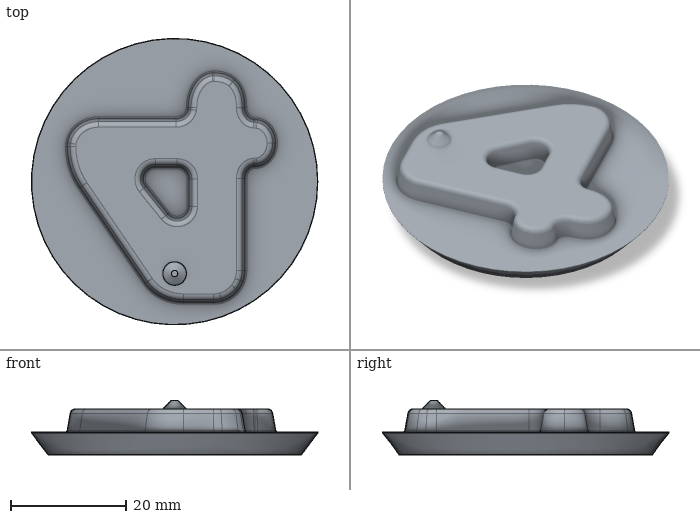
import cadquery as cq
import math

disc_radius = 24.85
disc_bottom_radius = 21.95
disc_height = 4.0
rim_height = 0.15

figure_height = 4.05
draft_angle = 10.0
top_fillet = 1.0
foot_fillet = 0.3

left_x = -18.7
right_x = 12.3
bottom_y = -21.0
bar_top_y = 11.0
diagonal_angle = math.radians(55.7)
diagonal_start = (-16.5, -1.05)
diagonal_end_x = -5.15
left_tangent_y = 6.05
bar_start_x = -13.15
bar_end_x = 0.2
bottom_start_x = 1.55
bottom_end_x = 6.75
stem_bottom_y = -15.45
stem_top_y = 0.55
head_left_x = 2.3
head_peak_x = 6.8
head_top_y = 18.95
head_foot_y = 12.85
head_right_fullness = 1.15
nub_start_x = 13.9
nub_tip_x = 17.6
nub_top_y = 10.85
nub_bottom_y = 2.55

opening_right_x = 2.45
opening_top_y = 2.45
opening_width = 9.95
opening_length = 12.4
opening_corner_radius = 2.0

peg_y = -15.95
peg_bottom_radius = 2.05
peg_top_radius = 0.55
peg_height = 1.5


def round_corner(sketch, start, corner, end, fullness=1.0):
    """Add an arc-like curve tangent to start-corner at its start and corner-end at its end.

    A fullness above 1 pushes the curve closer to the sharp corner.
    """
    heading_in = math.atan2(corner[1] - start[1], corner[0] - start[0])
    heading_out = math.atan2(end[1] - corner[1], end[0] - corner[0])
    turn = abs(math.remainder(heading_out - heading_in, 2 * math.pi))
    share = fullness * 4 / 3 * math.tan(turn / 4) / math.tan(turn / 2)
    handles = [
        tuple(p + share * (c - p) for p, c in zip(point, corner))
        for point in (start, end)
    ]
    return sketch.bezier([start, *handles, end])


def diagonal_y(x):
    return diagonal_start[1] - (x - diagonal_start[0]) * math.tan(diagonal_angle)


def diagonal_x(y):
    return diagonal_start[0] - (y - diagonal_start[1]) / math.tan(diagonal_angle)


def make_disc():
    profile = [
        (0, 0),
        (disc_bottom_radius, 0),
        (disc_radius, disc_height - rim_height),
        (disc_radius, disc_height),
        (0, disc_height),
    ]
    return cq.Workplane("XZ").polyline(profile).close().revolve(360, (0, 0), (0, 1))


def make_figure():
    nub_middle_y = (nub_top_y + nub_bottom_y) / 2
    diagonal_end = (diagonal_end_x, diagonal_y(diagonal_end_x))
    corners = [
        ((bar_end_x, bar_top_y), (head_left_x, bar_top_y), (head_left_x, head_foot_y)),
        ((head_left_x, head_foot_y), (head_left_x, head_top_y), (head_peak_x, head_top_y)),
        (
            (head_peak_x, head_top_y),
            (right_x, head_top_y),
            (right_x, head_foot_y),
            head_right_fullness,
        ),
        ((right_x, head_foot_y), (right_x, nub_top_y), (nub_start_x, nub_top_y)),
        ((nub_start_x, nub_top_y), (nub_tip_x, nub_top_y), (nub_tip_x, nub_middle_y)),
        ((nub_tip_x, nub_middle_y), (nub_tip_x, nub_bottom_y), (nub_start_x, nub_bottom_y)),
        ((nub_start_x, nub_bottom_y), (right_x, nub_bottom_y), (right_x, stem_top_y)),
        ((right_x, stem_bottom_y), (right_x, bottom_y), (bottom_end_x, bottom_y)),
        ((bottom_start_x, bottom_y), (diagonal_x(bottom_y), bottom_y), diagonal_end),
        (diagonal_start, (left_x, diagonal_y(left_x)), (left_x, left_tangent_y)),
        ((left_x, left_tangent_y), (left_x, bar_top_y), (bar_start_x, bar_top_y)),
    ]
    sketch = cq.Workplane("XY", origin=(0, 0, disc_height)).moveTo(*corners[0][0])
    previous_end = corners[0][0]
    for start, corner, end, *fullness in corners:
        if start != previous_end:
            sketch = sketch.lineTo(*start)
        sketch = round_corner(sketch, start, corner, end, *fullness)
        previous_end = end
    return sketch.close().extrude(figure_height, taper=draft_angle)


def make_opening():
    triangle = [
        (opening_right_x, opening_top_y),
        (opening_right_x, opening_top_y - opening_length),
        (opening_right_x - opening_width, opening_top_y),
    ]
    outline = cq.Sketch().polygon([*triangle, triangle[0]]).vertices().fillet(opening_corner_radius)
    return (
        cq.Workplane("XY", origin=(0, 0, disc_height))
        .placeSketch(outline)
        .extrude(figure_height, taper=-draft_angle)
    )


def make_peg():
    cone = cq.Solid.makeCone(
        peg_bottom_radius,
        peg_top_radius,
        peg_height,
        pnt=cq.Vector(0, peg_y, disc_height + figure_height),
    )
    return cq.Workplane(cone)


figure = make_figure().cut(make_opening())
figure = figure.faces(">Z").edges().fillet(top_fillet)

body = make_disc().union(figure)

foot_reach = disc_bottom_radius
foot_edges = body.edges(
    cq.selectors.BoxSelector(
        (-foot_reach, -foot_reach, disc_height - foot_fillet),
        (foot_reach, foot_reach, disc_height + foot_fillet),
    )
).edges("#Z")
body = foot_edges.fillet(foot_fillet)

result = body.union(make_peg())